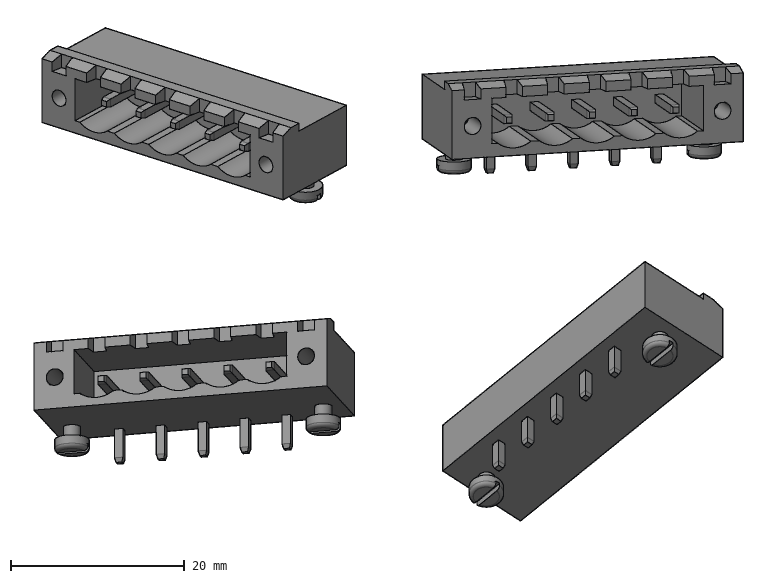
import cadquery as cq

contact_count = 5
pitch = 5.0
contact_span = (contact_count - 1) * pitch
screw_x = contact_span / 2 + pitch

length = 35
depth = 12.0
height = 8.6
overall_height = 12.6
lip_depth = 3.0
lip_rise = 0.98
bevel_depth = 1.5
bevel_drop = 0.52

pocket_length = 25.4
pocket_depth = 8.75
pocket_bottom = 1.58
pocket_top = 6.9
scallop_width = 4.0
scallop_sag = 0.65

notch_front_width = 2.0
notch_rear_width = 1.55

wire = 1.0
tip_width = 0.7
tip_length = 0.52
contact_z = 3.78
contact_front_y = 2.0
leg_y = 10.0
leg_drop = overall_height - height

flange_hole_diameter = 2.0
flange_hole_depth = 5.0

screw_y = 7.5
shank_diameter = 2.0
shank_drop = 1.55
head_diameter = 4.0
head_height = 1.5
head_round = 0.5
slot_width = 0.6
slot_depth = 0.85

contact_xs = [i * pitch - contact_span / 2 for i in range(contact_count)]
screw_xs = [-screw_x, screw_x]


def make_housing():
    """Extrude the side profile with its raised, bevelled front lip."""
    rear_top = height - lip_rise
    profile = [
        (0, 0),
        (depth, 0),
        (depth, rear_top),
        (lip_depth, rear_top),
        (lip_depth, height),
        (bevel_depth, height),
        (0, height - bevel_drop),
    ]
    return cq.Workplane("YZ").polyline(profile).close().extrude(length / 2, both=True)


def make_pocket():
    """Rectangular cavity whose floor has a shallow round scallop under each contact."""
    half_length = pocket_length / 2
    half_scallop = scallop_width / 2
    outline = cq.Workplane("XZ").moveTo(-half_length, pocket_top).lineTo(-half_length, pocket_bottom)
    for x in contact_xs:
        outline = outline.lineTo(x - half_scallop, pocket_bottom)
        outline = outline.threePointArc(
            (x, pocket_bottom - scallop_sag),
            (x + half_scallop, pocket_bottom),
        )
    outline = outline.lineTo(half_length, pocket_bottom).lineTo(half_length, pocket_top).close()
    return outline.extrude(-pocket_depth)


def make_notch(x):
    """Trapezoidal notch through the bevelled part of the lip, down to the pocket ceiling level."""
    corners = [
        (x - notch_front_width / 2, 0),
        (x + notch_front_width / 2, 0),
        (x + notch_rear_width / 2, bevel_depth),
        (x - notch_rear_width / 2, bevel_depth),
    ]
    floor = cq.Workplane("XY").workplane(offset=pocket_top)
    return floor.polyline(corners).close().extrude(height - pocket_top)


def make_wire(plane, wire_length):
    """Square wire along the plane normal, ending in a tapered tip."""
    straight_length = wire_length - tip_length
    straight = cq.Workplane(plane).rect(wire, wire).extrude(straight_length)
    tip = (
        cq.Workplane(plane)
        .workplane(offset=straight_length)
        .rect(wire, wire)
        .workplane(offset=tip_length)
        .rect(tip_width, tip_width)
        .loft(ruled=True)
    )
    return straight.union(tip)


def make_contact(x):
    """Right-angle contact: a pin in the pocket and a solder leg below the housing."""
    bend = (x, leg_y, contact_z)
    pin = make_wire(cq.Plane(bend, xDir=(1, 0, 0), normal=(0, -1, 0)), leg_y - contact_front_y)
    leg = make_wire(cq.Plane(bend, xDir=(1, 0, 0), normal=(0, 0, -1)), contact_z + leg_drop)
    return pin.union(leg)


def make_flange_hole(x):
    """Blind round hole in the front face beside the pocket."""
    return (
        cq.Workplane("XZ")
        .center(x, contact_z)
        .circle(flange_hole_diameter / 2)
        .extrude(-flange_hole_depth)
    )


def make_screw(x):
    """Slotted screw hanging from the underside, with a rounded head rim."""
    shank = cq.Workplane("XY").center(x, screw_y).circle(shank_diameter / 2).extrude(-shank_drop)
    head = (
        cq.Workplane("XY", origin=(x, screw_y, -shank_drop))
        .circle(head_diameter / 2)
        .extrude(-head_height)
        .faces("<Z")
        .edges()
        .fillet(head_round)
    )
    slot_bottom = -shank_drop - head_height
    slot = (
        cq.Workplane("XY", origin=(x, screw_y, slot_bottom))
        .rect(head_diameter, slot_width)
        .extrude(slot_depth)
    )
    return shank.union(head).cut(slot)


result = make_housing().cut(make_pocket())

for x in contact_xs + screw_xs:
    result = result.cut(make_notch(x))

for x in screw_xs:
    result = result.cut(make_flange_hole(x)).union(make_screw(x))

for x in contact_xs:
    result = result.union(make_contact(x))